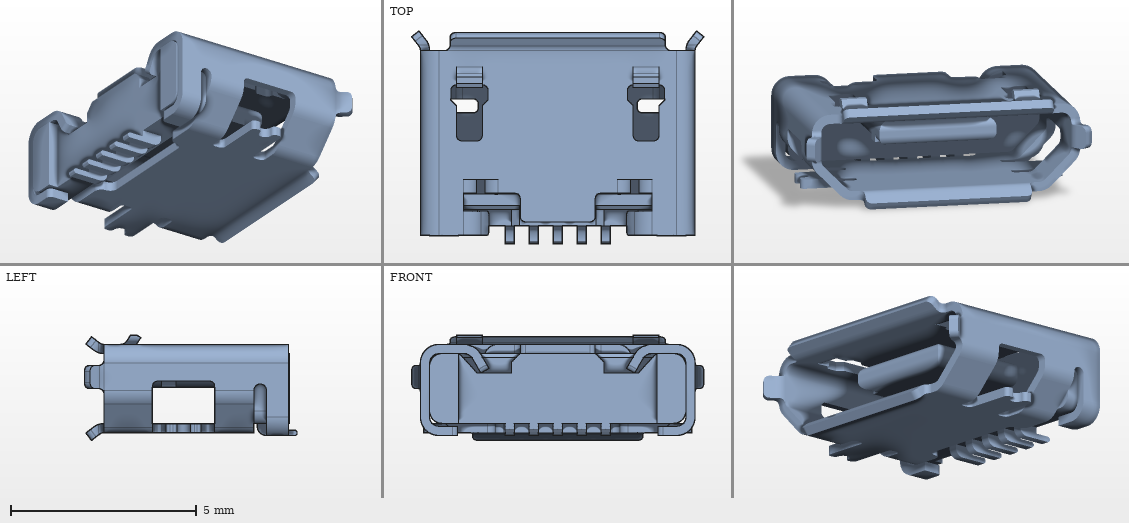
import cadquery as cq
import math


SHEET = 0.25
SHELL_WIDTH = 7.41
SHELL_HEIGHT = 2.39
SHELL_LENGTH = 4.98
BEND_RADIUS = 0.505
LOWER_CHAMFER = 0.93
HALF_WIDTH = SHELL_WIDTH / 2
INNER_HALF_WIDTH = HALF_WIDTH - SHEET
INNER_TOP = SHELL_HEIGHT - SHEET

LIP_ANGLE = 38.0
FLAT_LIP_RISE = 0.205
FLAT_LIP_REACH = 0.49
SIDE_LIP_RISE = 0.24
SIDE_LIP_REACH = 0.53
LIP_INNER_RADIUS = 0.2
LIP_OUTER_RADIUS = 0.43
LIP_CORNER = 0.16
LIP_ROOT = 0.15
TOP_LIP_WIDTH = 5.8
BOTTOM_LIP_WIDTH = 4.59
SIDE_LIP_WIDTH = 0.62
SIDE_LIP_Z = 1.505

FOOT_LENGTH = 0.6
FOOT_DROP = 0.075
FOOT_INNER_X = 2.695
FOOT_CORNER = 0.14
SLOT_WIDTH = 0.34
SLOT_TOP = 1.315
FLOOR_REAR_Y = FOOT_LENGTH + SLOT_WIDTH
FLOOR_NOTCH_HALF_WIDTH = 1.465
FLOOR_NOTCH_RADIUS = 0.21

OPENING_Y = 1.99
OPENING_LENGTH = 1.68
OPENING_TOP = 1.395
OPENING_CORNER = 0.14
OPENING_INNER_X = 2.14
RELIEF_CORNER = 0.13
SOLDER_TAB_WIDTH = 0.945
SOLDER_TAB_OUTER_X = 3.62
SOLDER_TAB_CORNER = 0.11
SOLDER_NOTCH_RADIUS = 0.18
SOLDER_NOTCH_INSET = 0.12
OPENING_MID_Y = OPENING_Y + OPENING_LENGTH / 2

LATCH_X = 2.38
LATCH_WIDTH = 0.69
LATCH_REAR_Y = 2.545
LATCH_WIDE_WIDTH = 1.0
LATCH_WIDE_Y = 3.65
LATCH_FRONT_Y = 4.05
LATCH_CORNER = 0.14
LATCH_SHOULDER = (LATCH_WIDE_WIDTH - LATCH_WIDTH) / 2
LANCE_HINGE_Y = 4.54
LANCE_RISE = 0.245
LANCE_BEND_RADIUS = 0.205
LANCE_TOP_BEND = 0.12
LANCE_UNDER_BEND = 0.275
LANCE_CREST = 0.275
LANCE_CREST_END = 0.45
LANCE_TIP = 0.56
LANCE_TIP_DROP = 0.06

NOTCH_INNER_X = 1.01
NOTCH_OUTER_X = 2.54
NOTCH_FRONT_Y = 1.135
NOTCH_CORNER = 0.16
ROOF_TONGUE_CORNER = 0.14
ROOF_REAR_Y = 0.36
CURL_INNER_X = 1.61
CURL_FRONT_Y = 1.5
CURL_RUN = 0.355
BENT_TAB_RADIUS = 0.535
BENT_TAB_WIDTH = 0.655
BENT_TAB_ANGLE = 60.0
BENT_TAB_STRAIGHT = 0.44
BENT_TAB_CORNER = 0.12

HOUSING_CORNER = 0.33
PAD_REAR_Y = -0.02
PAD_INNER_X = 2.67
WALL_REAR_Y = 0.25
WALL_FRONT_Y = 1.11
POCKET_WALL_Y = 0.69
POCKET_FLOOR_Z = 1.61
POCKET_FLOOR_X = (1.25, 2.17)
POCKET_TOP_X = (1.025, 2.65)
POCKET_SLOPE_Z = 1.9
POCKET_EDGE_CHAMFER = 0.11
TONGUE_HALF_WIDTH = 1.615
TONGUE_BOTTOM_Z = 1.23
TONGUE_THICKNESS = 0.63
TONGUE_FRONT_Y = 3.995
TONGUE_ROUND = 0.24
LUG_Y = 3.03
LUG_LENGTH = 0.395

LEAD_COUNT = 5
LEAD_PITCH = 0.65
LEAD_WIDTH = 0.25
LEAD_THICKNESS = 0.15
LEAD_TIP_Y = -0.23
LEAD_TIP_CHAMFER = 0.05
LEAD_FRONT_Y = 0.85
LEAD_BEND_RADIUS = 0.25


def box(x0, x1, y0, y1, z0, z1):
    """Block given by its limits along the three axes."""
    return cq.Workplane("XY").box(x1 - x0, y1 - y0, z1 - z0, centered=False).translate((x0, y0, z0))


def section(y0):
    """Plane across the connector at y0, with local axes X and Z, extruding towards +Y."""
    return cq.Workplane(cq.Plane(origin=(0, y0, 0), xDir=(1, 0, 0), normal=(0, -1, 0)))


def both_sides(body):
    """A feature together with its copy mirrored about X = 0."""
    return body.union(body.mirror("YZ"))


def tube_solid(length, inset):
    """Filled tube profile, moved inwards by inset: round corners and 45 degree lower flats."""
    outer = (
        section(0)
        .moveTo(-HALF_WIDTH, SHELL_HEIGHT)
        .lineTo(HALF_WIDTH, SHELL_HEIGHT)
        .lineTo(HALF_WIDTH, LOWER_CHAMFER)
        .lineTo(HALF_WIDTH - LOWER_CHAMFER, 0)
        .lineTo(LOWER_CHAMFER - HALF_WIDTH, 0)
        .lineTo(-HALF_WIDTH, LOWER_CHAMFER)
        .close()
        .extrude(-length)
        .edges("|Y")
        .fillet(BEND_RADIUS)
    )
    if inset == 0:
        return outer
    return outer.faces("<Y").wires().toPending().offset2D(-inset).extrude(-length, combine=False)


def rounded_block(half_width, z0, z1, y0, y1, radius):
    """Block along Y whose four long edges are rounded."""
    return box(-half_width, half_width, y0, y1, z0, z1).edges("|Y").fillet(radius)


def rear_feet():
    """Lower rear corners of the shell, bent inwards under the housing."""
    outer = rounded_block(HALF_WIDTH, -FOOT_DROP, SHELL_HEIGHT, 0, FOOT_LENGTH, BEND_RADIUS)
    inner = rounded_block(
        INNER_HALF_WIDTH, SHEET - FOOT_DROP, INNER_TOP, 0, FOOT_LENGTH, BEND_RADIUS - SHEET
    )
    gap = box(-FOOT_INNER_X, FOOT_INNER_X, 0, FOOT_LENGTH, -FOOT_DROP, SLOT_TOP)
    upper = box(-HALF_WIDTH, HALF_WIDTH, 0, FOOT_LENGTH, SLOT_TOP, SHELL_HEIGHT)
    feet = outer.cut(inner).cut(gap).cut(upper)
    for side in (-1, 1):
        corner = cq.selectors.NearestToPointSelector((side * FOOT_INNER_X, 0, SHEET / 2 - FOOT_DROP))
        feet = feet.edges("|Z").edges(corner).fillet(FOOT_CORNER)
    return feet


def relief_slots():
    """Round-topped slots that part the feet from the rest of the walls and floor."""
    radius = SLOT_WIDTH / 2
    return (
        cq.Workplane("YZ")
        .moveTo(FOOT_LENGTH, -FOOT_DROP)
        .lineTo(FLOOR_REAR_Y, -FOOT_DROP)
        .lineTo(FLOOR_REAR_Y, SLOT_TOP - radius)
        .threePointArc((FOOT_LENGTH + radius, SLOT_TOP), (FOOT_LENGTH, SLOT_TOP - radius))
        .close()
        .extrude(HALF_WIDTH, both=True)
    )


def floor_notch():
    """Recess in the rear edge of the floor, entered on each side through an S-curve."""
    r = FLOOR_NOTCH_RADIUS
    inner = FLOOR_NOTCH_HALF_WIDTH
    bend = r * math.sqrt(0.5)
    near, mid, far = FLOOR_REAR_Y, FLOOR_REAR_Y + r, FLOOR_REAR_Y + 2 * r
    return (
        cq.Workplane("XY")
        .moveTo(-inner - 2 * r, near)
        .threePointArc((-inner - 2 * r + bend, mid - bend), (-inner - r, mid))
        .threePointArc((-inner - bend, mid + bend), (-inner, far))
        .lineTo(inner, far)
        .threePointArc((inner + bend, mid + bend), (inner + r, mid))
        .threePointArc((inner + 2 * r - bend, mid - bend), (inner + 2 * r, near))
        .close()
        .extrude(SHEET)
    )


def solder_tab_blank():
    """Plain strip at floor level that becomes the +X solder tab."""
    half = SOLDER_TAB_WIDTH / 2
    return box(
        OPENING_INNER_X, SOLDER_TAB_OUTER_X, OPENING_MID_Y - half, OPENING_MID_Y + half, 0, SHEET
    )


def solder_opening():
    """Opening in the +X wall, lower flat and floor, leaving a rounded relief on each side of the tab."""
    wall = box(
        OPENING_INNER_X, HALF_WIDTH, OPENING_Y, OPENING_Y + OPENING_LENGTH, 0, OPENING_TOP
    )
    wall = wall.edges("|X and >Z").fillet(OPENING_CORNER).cut(solder_tab_blank())
    return wall.edges("|Z and <X").fillet(RELIEF_CORNER)


def solder_tab():
    """Flat tab at floor level pointing to +X, with a round-bottomed notch in its end."""
    notch_x = SOLDER_TAB_OUTER_X - SOLDER_NOTCH_INSET
    notch = (
        cq.Workplane("XY")
        .center(notch_x, OPENING_MID_Y)
        .slot2D(4 * SOLDER_NOTCH_RADIUS, 2 * SOLDER_NOTCH_RADIUS)
        .extrude(SHEET)
        .translate((SOLDER_NOTCH_RADIUS, 0, 0))
    )
    return solder_tab_blank().cut(notch).edges("|Z and >X").fillet(SOLDER_TAB_CORNER)


def lip(width, rise, reach):
    """Lip along a roof edge at Y = 0, Z = 0, sloping up and away towards +Y."""
    slope = math.tan(math.radians(LIP_ANGLE))
    tip_height = SHEET * math.cos(math.radians(LIP_ANGLE))
    setback = SHEET * math.sin(math.radians(LIP_ANGLE))
    inner_bend_y = reach - setback - rise / slope
    outer_bend_y = reach - (rise - tip_height + SHEET) / slope
    plate = (
        cq.Workplane("YZ")
        .moveTo(0, 0)
        .lineTo(inner_bend_y, 0)
        .lineTo(reach - setback, rise)
        .lineTo(reach, rise - tip_height)
        .lineTo(outer_bend_y, -SHEET)
        .lineTo(0, -SHEET)
        .close()
        .extrude(width / 2 + LIP_ROOT, both=True)
    )
    inner_bend = cq.selectors.NearestToPointSelector((0, inner_bend_y, 0))
    outer_bend = cq.selectors.NearestToPointSelector((0, outer_bend_y, -SHEET))
    plate = plate.edges(inner_bend).fillet(LIP_INNER_RADIUS)
    plate = plate.edges(outer_bend).fillet(LIP_OUTER_RADIUS)
    for side in (-1, 1):
        plate = plate.cut(lip_side_cut(side, width / 2, reach))
    tip_mid = (reach - setback / 2, rise - tip_height / 2)
    for side in (-1, 1):
        corner = cq.selectors.NearestToPointSelector((side * width / 2, *tip_mid))
        plate = plate.edges(corner).fillet(LIP_CORNER)
    return plate


def lip_side_cut(side, half_width, reach):
    """Trims one side of a lip straight, down to a concave fillet at the mouth edge."""
    centre_x = half_width + LIP_ROOT
    straight = box(half_width, centre_x, LIP_ROOT, reach, -2 * SHEET, 2 * SHEET)
    fillet = (
        cq.Workplane("XY", origin=(centre_x, LIP_ROOT, -2 * SHEET))
        .circle(LIP_ROOT)
        .extrude(4 * SHEET)
    )
    trim = straight.union(fillet)
    return trim if side > 0 else trim.mirror("YZ")


def mouth_lips():
    """The four lips, each turned about Y to its side of the mouth."""
    flat = (FLAT_LIP_RISE, FLAT_LIP_REACH)
    side = (SIDE_LIP_RISE, SIDE_LIP_REACH)
    places = [
        (TOP_LIP_WIDTH, flat, 0, (0, SHELL_LENGTH, SHELL_HEIGHT)),
        (BOTTOM_LIP_WIDTH, flat, 180, (0, SHELL_LENGTH, 0)),
        (SIDE_LIP_WIDTH, side, 90, (HALF_WIDTH, SHELL_LENGTH, SIDE_LIP_Z)),
        (SIDE_LIP_WIDTH, side, -90, (-HALF_WIDTH, SHELL_LENGTH, SIDE_LIP_Z)),
    ]
    return [
        lip(width, *slant).rotate((0, 0, 0), (0, 1, 0), turn).translate(corner)
        for width, slant, turn, corner in places
    ]


def latch_window():
    """Roof window on the +X side: a slot that widens towards the mouth, plus the lance gap."""
    half = LATCH_WIDTH / 2
    wide = LATCH_WIDE_WIDTH / 2
    taper_y = LATCH_WIDE_Y - LATCH_SHOULDER
    opening = (
        cq.Workplane("XY", origin=(LATCH_X, 0, INNER_TOP))
        .moveTo(-half, LATCH_REAR_Y)
        .lineTo(half, LATCH_REAR_Y)
        .lineTo(half, taper_y)
        .lineTo(wide, LATCH_WIDE_Y)
        .lineTo(wide, LATCH_FRONT_Y)
        .lineTo(-wide, LATCH_FRONT_Y)
        .lineTo(-wide, LATCH_WIDE_Y)
        .lineTo(-half, taper_y)
        .close()
        .extrude(SHEET)
        .edges("|Z")
        .edges("<Y or >Y")
        .fillet(LATCH_CORNER)
    )
    gap = box(
        LATCH_X - half, LATCH_X + half, LATCH_WIDE_Y, LANCE_HINGE_Y, INNER_TOP, SHELL_HEIGHT
    )
    return opening.union(gap)


def latch_lance():
    """Strip of roof on the +X side, bent up from its hinge and cut level at the tip."""
    top_bend_y = LANCE_HINGE_Y - LANCE_TOP_BEND
    under_bend_y = LANCE_HINGE_Y - LANCE_UNDER_BEND
    profile = [
        (LANCE_HINGE_Y, -SHEET),
        (LANCE_HINGE_Y, 0),
        (top_bend_y, 0),
        (LANCE_HINGE_Y - LANCE_CREST, LANCE_RISE),
        (LANCE_HINGE_Y - LANCE_CREST_END, LANCE_RISE),
        (LANCE_HINGE_Y - LANCE_TIP, LANCE_RISE - LANCE_TIP_DROP),
        (under_bend_y, -SHEET),
    ]
    strip = cq.Workplane("YZ").polyline(profile).close().extrude(LATCH_WIDTH / 2, both=True)
    top_bend = cq.selectors.NearestToPointSelector((0, top_bend_y, 0))
    under_bend = cq.selectors.NearestToPointSelector((0, under_bend_y, -SHEET))
    strip = strip.edges(top_bend).fillet(LANCE_BEND_RADIUS)
    strip = strip.edges(under_bend).fillet(LANCE_BEND_RADIUS + SHEET)
    return strip.translate((LATCH_X, 0, SHELL_HEIGHT))


def roof_notch():
    """Rear notch of the roof on the +X side, beside the central roof tongue."""
    notch = box(NOTCH_INNER_X, NOTCH_OUTER_X, 0, NOTCH_FRONT_Y, INNER_TOP, SHELL_HEIGHT)
    return notch.edges("|Z and <X and >Y").fillet(NOTCH_CORNER)


def roof_tongue_end():
    """Strip that shortens the central roof tongue and rounds its two corners."""
    strip = box(-NOTCH_INNER_X, NOTCH_INNER_X, 0, NOTCH_FRONT_Y, INNER_TOP, SHELL_HEIGHT)
    kept = box(-NOTCH_INNER_X, NOTCH_INNER_X, ROOF_REAR_Y, NOTCH_FRONT_Y, INNER_TOP, SHELL_HEIGHT)
    return strip.cut(kept.edges("|Z and <Y").fillet(ROOF_TONGUE_CORNER))


def curled_window():
    """Window ahead of the +X notch whose two side edges curve down into it."""
    radius = (CURL_RUN**2 + SHEET**2) / (2 * SHEET)
    half_angle = math.asin(CURL_RUN / radius) / 2
    mid_run = radius * math.sin(half_angle)
    mid_z = SHELL_HEIGHT - radius * (1 - math.cos(half_angle))
    return (
        section(NOTCH_FRONT_Y)
        .moveTo(CURL_INNER_X, SHELL_HEIGHT)
        .threePointArc((CURL_INNER_X + mid_run, mid_z), (CURL_INNER_X + CURL_RUN, INNER_TOP))
        .lineTo(NOTCH_OUTER_X - CURL_RUN, INNER_TOP)
        .threePointArc((NOTCH_OUTER_X - mid_run, mid_z), (NOTCH_OUTER_X, SHELL_HEIGHT))
        .close()
        .extrude(NOTCH_FRONT_Y - CURL_FRONT_Y)
    )


def bent_tab():
    """Tab at the rear of the +X notch, curving down and inwards from the roof."""
    angle = math.radians(BENT_TAB_ANGLE)
    inner_radius = BENT_TAB_RADIUS - SHEET
    centre_z = SHELL_HEIGHT - BENT_TAB_RADIUS

    def on_bend(radius, turn):
        return (NOTCH_OUTER_X - radius * math.sin(turn), centre_z + radius * math.cos(turn))

    def along(point):
        return (
            point[0] - BENT_TAB_STRAIGHT * math.cos(angle),
            point[1] - BENT_TAB_STRAIGHT * math.sin(angle),
        )

    outer_end = on_bend(BENT_TAB_RADIUS, angle)
    inner_end = on_bend(inner_radius, angle)
    tab = (
        section(0)
        .moveTo(NOTCH_OUTER_X, INNER_TOP)
        .lineTo(NOTCH_OUTER_X, SHELL_HEIGHT)
        .threePointArc(on_bend(BENT_TAB_RADIUS, angle / 2), outer_end)
        .lineTo(*along(outer_end))
        .lineTo(*along(inner_end))
        .lineTo(*inner_end)
        .threePointArc(on_bend(inner_radius, angle / 2), (NOTCH_OUTER_X, INNER_TOP))
        .close()
        .extrude(-BENT_TAB_WIDTH)
    )
    tip = along(on_bend(BENT_TAB_RADIUS - SHEET / 2, angle))
    for y in (0, BENT_TAB_WIDTH):
        corner = cq.selectors.NearestToPointSelector((tip[0], y, tip[1]))
        tab = tab.edges(corner).fillet(BENT_TAB_CORNER)
    return tab


def make_shell():
    shell = tube_solid(SHELL_LENGTH, 0).cut(tube_solid(SHELL_LENGTH, SHEET))
    shell = shell.cut(box(-HALF_WIDTH, HALF_WIDTH, 0, FOOT_LENGTH, 0, SLOT_TOP))
    shell = shell.cut(relief_slots()).union(rear_feet()).cut(floor_notch())
    shell = shell.cut(both_sides(solder_opening())).union(both_sides(solder_tab()))
    shell = shell.cut(both_sides(latch_window())).union(both_sides(latch_lance()))
    shell = shell.cut(both_sides(roof_notch())).cut(roof_tongue_end())
    shell = shell.cut(both_sides(curled_window())).union(both_sides(bent_tab()))
    for mouth_lip in mouth_lips():
        shell = shell.union(mouth_lip)
    return shell


def housing_wall():
    """Rear wall filling the tube, stepped back between two side pads."""
    rear = rounded_block(
        INNER_HALF_WIDTH, SHEET, INNER_TOP, PAD_REAR_Y, FLOOR_REAR_Y, HOUSING_CORNER
    )
    over_floor = box(-HALF_WIDTH, HALF_WIDTH, FLOOR_REAR_Y, WALL_FRONT_Y, 0, SHELL_HEIGHT)
    front = tube_solid(SHELL_LENGTH, SHEET).intersect(over_floor)
    step = box(-PAD_INNER_X, PAD_INNER_X, PAD_REAR_Y, WALL_REAR_Y, 0, SHELL_HEIGHT)
    return rear.union(front).cut(step)


def tab_pocket():
    """Pocket in the rear of the wall that clears the bent tab on the +X side."""
    outline = [
        (POCKET_TOP_X[0], INNER_TOP),
        (POCKET_FLOOR_X[0], POCKET_SLOPE_Z),
        (POCKET_FLOOR_X[0], POCKET_FLOOR_Z),
        (POCKET_FLOOR_X[1], POCKET_FLOOR_Z),
        (POCKET_TOP_X[1], INNER_TOP),
    ]
    pocket = section(PAD_REAR_Y).polyline(outline).close().extrude(PAD_REAR_Y - POCKET_WALL_Y)
    chamfer = (
        cq.Workplane("YZ", origin=(POCKET_TOP_X[0], 0, 0))
        .moveTo(POCKET_WALL_Y, INNER_TOP)
        .lineTo(POCKET_WALL_Y + POCKET_EDGE_CHAMFER, INNER_TOP)
        .lineTo(POCKET_WALL_Y, INNER_TOP - POCKET_EDGE_CHAMFER)
        .close()
        .extrude(POCKET_TOP_X[1] - POCKET_TOP_X[0])
    )
    return pocket.union(chamfer)


def tongue():
    """Round-edged tongue reaching towards the mouth, with a square lug on each lower edge."""
    top = TONGUE_BOTTOM_Z + TONGUE_THICKNESS
    half = TONGUE_HALF_WIDTH
    blade = box(-half, half, WALL_FRONT_Y, TONGUE_FRONT_Y, TONGUE_BOTTOM_Z, top)
    blade = blade.edges("|Y or (|X and >Y)").fillet(TONGUE_ROUND)
    lug_top = TONGUE_BOTTOM_Z + TONGUE_ROUND
    lug = box(half - TONGUE_ROUND, half, LUG_Y, LUG_Y + LUG_LENGTH, TONGUE_BOTTOM_Z, lug_top)
    return blade.union(both_sides(lug))


def lead():
    """Contact lead under the wall: a rounded heel and a flat solder foot pointing to -Y."""
    bottom = -FOOT_DROP
    heel = LEAD_BEND_RADIUS * (1 - math.sqrt(0.5))
    return (
        cq.Workplane("YZ")
        .moveTo(LEAD_FRONT_Y, SHEET)
        .lineTo(LEAD_FRONT_Y, bottom + LEAD_BEND_RADIUS)
        .threePointArc((LEAD_FRONT_Y - heel, bottom + heel), (LEAD_FRONT_Y - LEAD_BEND_RADIUS, bottom))
        .lineTo(LEAD_TIP_Y + LEAD_TIP_CHAMFER, bottom)
        .lineTo(LEAD_TIP_Y, bottom + LEAD_TIP_CHAMFER)
        .lineTo(LEAD_TIP_Y, bottom + LEAD_THICKNESS - LEAD_TIP_CHAMFER)
        .lineTo(LEAD_TIP_Y + LEAD_TIP_CHAMFER, bottom + LEAD_THICKNESS)
        .lineTo(WALL_REAR_Y, bottom + LEAD_THICKNESS)
        .lineTo(WALL_REAR_Y, SHEET)
        .close()
        .extrude(LEAD_WIDTH / 2, both=True)
    )


def make_housing():
    housing = housing_wall().cut(both_sides(tab_pocket())).union(tongue())
    for index in range(LEAD_COUNT):
        x = (index - (LEAD_COUNT - 1) / 2) * LEAD_PITCH
        housing = housing.union(lead().translate((x, 0, 0)))
    return housing


shell = make_shell()
housing = make_housing()

result = cq.Compound.makeCompound([shell.val(), housing.val()])